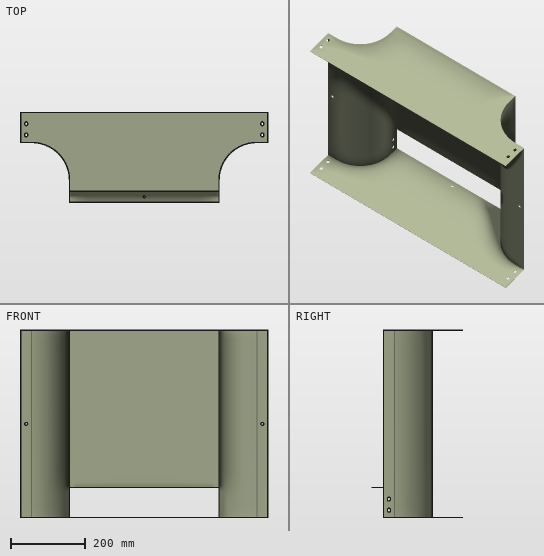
import cadquery as cq
import math

length = 660.0
depth = 240.0
height = 500.0
sheet = 0.8

flange = 30.0
neck_width = 400.0
bend_radius = (length - neck_width) / 2 - flange
body_depth = depth - flange
wing_depth = body_depth - flange - bend_radius
opening_height = 80.0

half_length = length / 2
half_neck = neck_width / 2
back_y = depth / 2
wing_y = back_y - wing_depth
front_y = back_y - body_depth
middle_z = height / 2

hole_diameter = 7.0
lip_hole_diameter = 5.0
slot_length = 10.0
hole_inset = flange / 2
hole_pitch = 30.0
first_slot_offset = 30.5
first_neck_slot_z = 20.0


def plan_outline(inset):
    """T outline whose curved and front edges are moved inwards by inset."""
    neck = half_neck - inset
    wing = wing_y + inset
    front = front_y + inset
    bend_x = half_length - flange
    bend_y = wing_y - bend_radius
    arc_offset = (bend_radius + inset) * math.sqrt(0.5)
    return (
        cq.Workplane("XY")
        .moveTo(-half_length, back_y)
        .lineTo(half_length, back_y)
        .lineTo(half_length, wing)
        .lineTo(bend_x, wing)
        .threePointArc((bend_x - arc_offset, bend_y + arc_offset), (neck, bend_y))
        .lineTo(neck, front)
        .lineTo(-neck, front)
        .lineTo(-neck, bend_y)
        .threePointArc((-bend_x + arc_offset, bend_y + arc_offset), (-bend_x, wing))
        .lineTo(-half_length, wing)
        .close()
    )


def make_shell():
    """Top and bottom plates joined by the curved walls and the front wall."""
    body = plan_outline(0).extrude(height)
    cavity = plan_outline(sheet).extrude(height - 2 * sheet).translate((0, 0, sheet))
    return body.cut(cavity)


def cut_front_opening(body):
    """Opening between the bottom plate and the front wall."""
    opening = cq.Workplane("XY").box(
        neck_width - 2 * sheet, 2 * sheet, opening_height - sheet, centered=(True, True, False)
    )
    return body.cut(opening.translate((0, front_y, sheet)))


def add_lip(body):
    """Lip projecting from the lower edge of the front wall."""
    lip = cq.Workplane("XY").box(neck_width, flange + sheet, sheet, centered=(True, False, False))
    return body.union(lip.translate((0, -depth / 2, opening_height)))


def cut_wing_slots(body):
    """Pairs of slots near each wing end, through both plates."""
    slot_x = half_length - hole_inset
    first_y = back_y - first_slot_offset
    points = [(side * slot_x, first_y - row * hole_pitch) for side in (-1, 1) for row in (0, 1)]
    slots = cq.Workplane("XY").pushPoints(points).slot2D(slot_length, hole_diameter, 90).extrude(height)
    return body.cut(slots)


def cut_wall_holes(body):
    """Round holes and upright slots in the flat ends of the curved walls."""
    wing_x = half_length - hole_inset
    wing_holes = (
        cq.Workplane("XZ", origin=(0, wing_y + sheet, 0))
        .pushPoints([(-wing_x, middle_z), (wing_x, middle_z)])
        .circle(hole_diameter / 2)
        .extrude(2 * sheet)
    )
    slot_y = front_y + hole_inset
    neck_slots = (
        cq.Workplane("YZ", origin=(-half_neck, 0, 0))
        .pushPoints([(slot_y, first_neck_slot_z + row * hole_pitch) for row in (0, 1)])
        .slot2D(slot_length, hole_diameter, 90)
        .extrude(neck_width)
    )
    return body.cut(wing_holes).cut(neck_slots)


def cut_center_holes(body):
    """Single holes at mid length in the bottom plate and in the lip."""
    bottom_hole = (
        cq.Workplane("XY")
        .center(0, front_y + hole_inset)
        .circle(hole_diameter / 2)
        .extrude(sheet)
    )
    lip_hole = (
        cq.Workplane("XY", origin=(0, 0, opening_height))
        .center(0, front_y - hole_inset)
        .circle(lip_hole_diameter / 2)
        .extrude(sheet)
    )
    return body.cut(bottom_hole).cut(lip_hole)


result = make_shell()
result = cut_front_opening(result)
result = add_lip(result)
result = cut_wing_slots(result)
result = cut_wall_holes(result)
result = cut_center_holes(result)